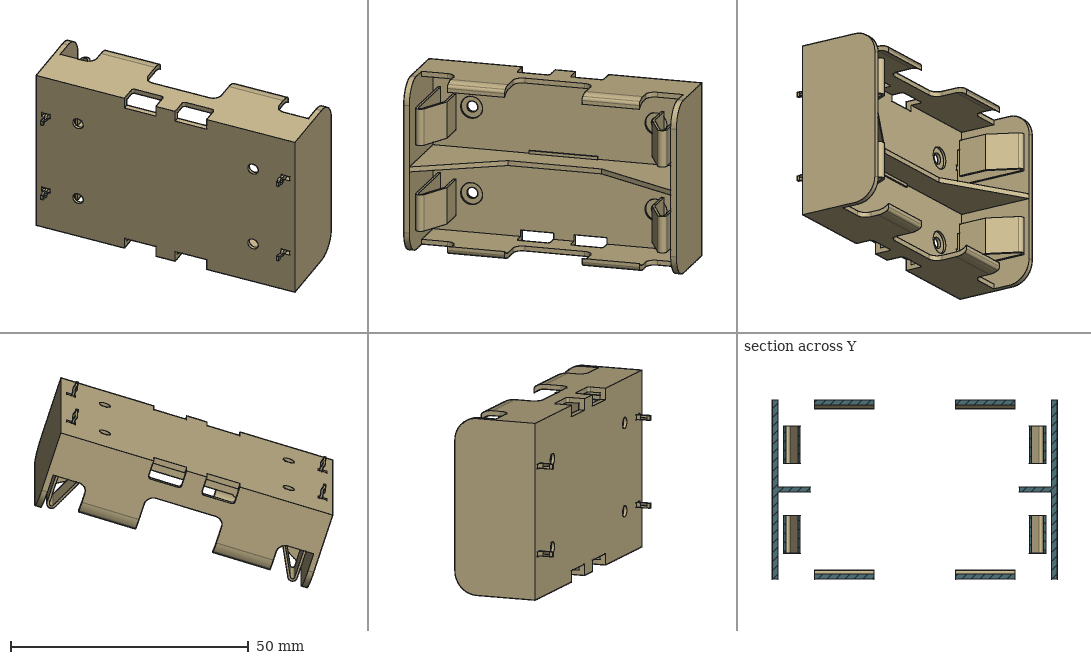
import cadquery as cq
import math

length = 60.0
width = 38.0
depth = 18.25
pin_length = 2.95

end_wall = 1.25
side_wall = 1.1
floor_thickness = 1.25
corner_radius = 5.0
divider_thickness = 1.1

half_length = length / 2
half_width = width / 2
arc_start = depth - corner_radius

lip_depth = 15.85
lip_radius = 0.85
finger_half = 8.5
finger_floor = 7.75
end_notch_reach = 8.9
end_notch_floor = 9.35
notch_radius = 2.0

divider_slope = 0.57

window_length = 7.25
window_offset = 5.9
window_height = 4.0
window_floor_cut = 2.45
window_radius = 0.6

pad_length = 15.05
pad_height = 0.35
pad_width = 2.4

hole_diameter = 2.4
hole_x = 20.3
hole_z = 9.5
counterbore_diameter = 4.8
counterbore_floor = 0.7

strip = 0.55
contact_width = 8.0
contact_z = 9.4
leg_x = 2.4
bend_radius = 1.0
spring_knee_x = 7.45
spring_knee_depth = 11.4
spring_end_depth = 4.8
pin_width = 1.0
slot_reach = 3.25
pin_bump = 0.21
bump_near = 0.85
bump_far = 2.3


def box(x0, x1, y0, y1, z0, z1):
    """Axis-aligned block between the given limits."""
    return cq.Workplane("XY").box(x1 - x0, y1 - y0, z1 - z0, centered=False).translate((x0, y0, z0))


def rounded_block(x0, x1, inset, bottom):
    """Block along X whose two open-side edges are rounded, inset evenly from the outer shape."""
    block = box(x0, x1, bottom, depth - inset, inset - half_width, half_width - inset)
    return block.edges("|X and >Y").fillet(corner_radius - inset)


def make_shell():
    """Floor, end walls and side walls with inward-curling lips."""
    shell = rounded_block(-half_length, half_length, 0, 0)
    inner_half = half_length - end_wall
    shell = shell.cut(rounded_block(-inner_half, inner_half, side_wall, floor_thickness))
    return shell.cut(box(-inner_half, inner_half, lip_depth, depth, -half_width, half_width))


def cut_side_notches(body):
    """Finger notch in the middle and a notch at each end, through both side walls."""
    finger = box(-finger_half, finger_half, finger_floor, 2 * depth, -half_width, half_width)
    body = body.cut(finger.edges("|Z and <Y").fillet(notch_radius))
    for side in (-1, 1):
        outer_x = side * (half_length - end_wall)
        inner_x = side * (half_length - end_notch_reach)
        notch = box(min(outer_x, inner_x), max(outer_x, inner_x),
                    end_notch_floor, 2 * depth, -half_width, half_width)
        inner_edge = "<X" if side > 0 else ">X"
        body = body.cut(notch.edges("|Z and <Y").edges(inner_edge).fillet(notch_radius))
    return body


def round_lip_tips(body):
    """Round the outer long edge at the tip of each lip."""
    rise = lip_depth - arc_start
    tip_z = half_width - corner_radius + math.sqrt(corner_radius**2 - rise**2)
    reach = side_wall / 2
    for side in (-1, 1):
        around_edge = cq.selectors.BoxSelector(
            (-half_length, lip_depth - reach, side * tip_z - reach),
            (half_length, lip_depth + reach, side * tip_z + reach),
        )
        body = body.edges("|X").edges(around_edge).fillet(lip_radius)
    return body


def make_divider():
    """Wall between the cells, sloping down from each end to the finger notch level."""
    end_x = half_length - end_wall
    flat_x = end_x - (depth - finger_floor) / divider_slope
    return (
        cq.Workplane("XY", origin=(0, 0, -divider_thickness / 2))
        .polyline([
            (-end_x, 0), (end_x, 0), (end_x, depth),
            (flat_x, finger_floor), (-flat_x, finger_floor), (-end_x, depth),
        ])
        .close()
        .extrude(divider_thickness)
    )


def make_pad():
    """Low strip on the floor along the foot of the divider."""
    return box(-pad_length / 2, pad_length / 2, 0, floor_thickness + pad_height,
               -pad_width / 2, pad_width / 2)


def cut_windows(body):
    """Latch windows through the foot of each side wall and the floor edge."""
    for x in (-window_offset, window_offset):
        for side in (-1, 1):
            edge_z = side * half_width
            inner_z = side * (half_width - window_floor_cut)
            window = box(x - window_length / 2, x + window_length / 2, 0, window_height,
                         min(edge_z, inner_z), max(edge_z, inner_z))
            body = body.cut(window.edges("|Z and >Y").fillet(window_radius))
    return body


def cut_floor_openings(body):
    """Mounting holes, counterbored from inside, and the slots that the contact pins pass through."""
    for sx in (-1, 1):
        for sz in (-1, 1):
            hole = (
                cq.Workplane("XZ", origin=(sx * hole_x, floor_thickness, sz * hole_z))
                .circle(hole_diameter / 2)
                .extrude(floor_thickness)
            )
            counterbore = (
                cq.Workplane("XZ", origin=(sx * hole_x, floor_thickness, sz * hole_z))
                .circle(counterbore_diameter / 2)
                .extrude(floor_thickness - counterbore_floor)
            )
            slot_outer = sx * (half_length - end_wall)
            slot_inner = sx * (half_length - slot_reach)
            slot = box(min(slot_outer, slot_inner), max(slot_outer, slot_inner), 0, floor_thickness,
                       sz * contact_z - pin_width / 2, sz * contact_z + pin_width / 2)
            body = body.cut(hole).cut(counterbore).cut(slot)
    return body


def make_housing():
    """Complete housing as one solid."""
    body = round_lip_tips(cut_side_notches(make_shell()))
    body = body.union(make_divider()).union(make_pad())
    return cut_floor_openings(cut_windows(body))


def make_spring():
    """Straight leg, round bend and sloping spring arm, as one bent strip of the -X, +Z contact."""
    leg = leg_x - half_length
    knee = spring_knee_x - half_length
    bend_x = leg + bend_radius
    bend_y = depth - bend_radius
    inner_radius = bend_radius - strip

    reach = math.hypot(knee - bend_x, bend_y - spring_knee_depth)
    to_knee = math.atan2(spring_knee_depth - bend_y, knee - bend_x)
    normal = to_knee + math.acos(bend_radius / reach)
    middle = (normal + math.pi) / 2

    def on_bend(radius, angle):
        return (bend_x + radius * math.cos(angle), bend_y + radius * math.sin(angle))

    inner_knee = (knee - strip, spring_knee_depth - strip * math.tan(normal / 2))
    return (
        cq.Workplane("XY", origin=(0, 0, contact_z - contact_width / 2))
        .moveTo(leg, floor_thickness)
        .lineTo(leg, bend_y)
        .threePointArc(on_bend(bend_radius, middle), on_bend(bend_radius, normal))
        .lineTo(knee, spring_knee_depth)
        .lineTo(knee, spring_end_depth)
        .lineTo(knee - strip, spring_end_depth)
        .lineTo(*inner_knee)
        .lineTo(*on_bend(inner_radius, normal))
        .threePointArc(on_bend(inner_radius, middle), (leg + strip, bend_y))
        .lineTo(leg + strip, floor_thickness)
        .close()
        .extrude(contact_width)
    )


def make_pin_half(bow, z_start):
    """Half the width of a pin, bowed sideways by the given amount."""
    outer = leg_x - half_length
    inner = outer + strip
    bow_middle = -(bump_near + bump_far) / 2
    return (
        cq.Workplane("XY", origin=(0, 0, z_start))
        .moveTo(outer, floor_thickness)
        .lineTo(outer, -bump_near)
        .threePointArc((outer + bow, bow_middle), (outer, -bump_far))
        .lineTo(outer, -pin_length)
        .lineTo(inner, -pin_length)
        .lineTo(inner, -bump_far)
        .threePointArc((inner + bow, bow_middle), (inner, -bump_near))
        .lineTo(inner, floor_thickness)
        .close()
        .extrude(pin_width / 2)
    )


def make_contact(side_x, side_z):
    """One contact: a spring with a split, bowed pin, mirrored into its corner."""
    contact = (
        make_spring()
        .union(make_pin_half(pin_bump, contact_z))
        .union(make_pin_half(-pin_bump, contact_z - pin_width / 2))
    )
    if side_x > 0:
        contact = contact.mirror("YZ")
    if side_z < 0:
        contact = contact.mirror("XY")
    return contact


housing = make_housing()
contacts = [make_contact(side_x, side_z) for side_x in (-1, 1) for side_z in (-1, 1)]

result = cq.Compound.makeCompound([housing.val(), *[contact.val() for contact in contacts]])